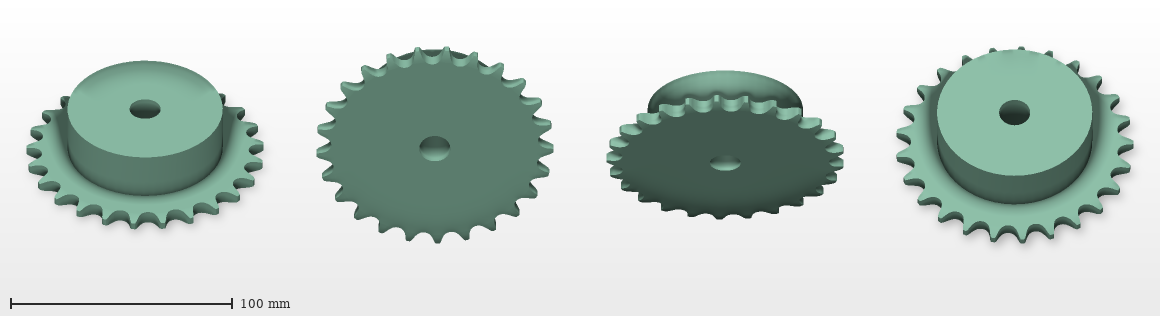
import cadquery as cq
import math

overall_width = 107.0
tooth_count = 25
pitch_radius = 50.7
roller_diameter = 7.9
roller_clearance = 0.039
tip_half_angle = 0.9

seat_radius = 0.5025 * roller_diameter + roller_clearance
working_radius = 1.3025 * roller_diameter + roller_clearance
seat_angle = 35 + 60 / tooth_count
working_angle = 18 - 56 / tooth_count
topping_angle = 17 - 64 / tooth_count
straight_length = roller_diameter * (
    1.4 * math.sin(math.radians(topping_angle)) - 0.8 * math.sin(math.radians(working_angle))
)

half_pitch_angle = math.pi / tooth_count

widest_corner_angle = half_pitch_angle / 2 - math.radians(tip_half_angle)
tip_radius = overall_width / 2 / math.cos(widest_corner_angle)

plate_thickness = 5.9
relief_start_radius = 47.8
relief_depth = 1.3
rim_margin = 1.1

overall_height = 28.0
hub_diameter = 70.0
bore_diameter = 14.0


def turn(point, angle):
    """Rotate a point about the origin by an angle in radians."""
    x, y = point
    return (x * math.cos(angle) - y * math.sin(angle), x * math.sin(angle) + y * math.cos(angle))


def mirror(point):
    """Reflect a point across the centreline of the upright tooth."""
    return (-point[0], point[1])


def move(point, distance, angle):
    """Shift a point by a distance along a direction given in radians."""
    return (point[0] + distance * math.cos(angle), point[1] + distance * math.sin(angle))


def half_tooth():
    """Points up the right side of a tooth pointing along +Y, from the seat to the tip."""
    seat_lean = math.radians(seat_angle) - half_pitch_angle
    flank_lean = seat_lean - math.radians(working_angle)

    seat_centre = turn((0, pitch_radius), -half_pitch_angle)
    working_centre = move(seat_centre, working_radius - seat_radius, seat_lean)

    seat_end = move(seat_centre, -seat_radius, seat_lean)
    working_middle = move(working_centre, -working_radius, (seat_lean + flank_lean) / 2)
    working_end = move(working_centre, -working_radius, flank_lean)
    flank_direction = flank_lean + math.pi / 2
    straight_end = move(working_end, straight_length, flank_direction)
    tip_corner = turn((0, tip_radius), -math.radians(tip_half_angle))

    run = tip_corner[0] - straight_end[0]
    rise = tip_corner[1] - straight_end[1]
    bend = math.atan2(rise, run) - flank_direction
    middle_distance = math.hypot(run, rise) / (2 * math.cos(bend / 2))
    rounding_middle = move(straight_end, middle_distance, flank_direction + bend / 2)
    return seat_end, working_middle, working_end, straight_end, rounding_middle, tip_corner


def toothed_outline():
    """Closed outline of the teeth, with one tooth pointing along -Y."""
    right_side = half_tooth()
    left_side = [mirror(point) for point in right_side]
    tip = (0, tip_radius)
    root = turn((0, pitch_radius - seat_radius), half_pitch_angle)

    outline = cq.Workplane("XY").moveTo(*turn(right_side[0], math.pi))
    for index in range(tooth_count):
        angle = math.pi + 2 * half_pitch_angle * index
        _, working_middle, working_end, straight_end, rounding_middle, tip_corner = [
            turn(point, angle) for point in right_side
        ]
        left_seat, left_middle, left_working, left_straight, left_rounding, left_corner = [
            turn(point, angle) for point in left_side
        ]
        next_seat = turn(right_side[0], angle + 2 * half_pitch_angle)
        outline = (
            outline.threePointArc(working_middle, working_end)
            .lineTo(*straight_end)
            .threePointArc(rounding_middle, tip_corner)
            .threePointArc(turn(tip, angle), left_corner)
            .threePointArc(left_rounding, left_straight)
            .lineTo(*left_working)
            .threePointArc(left_middle, left_seat)
            .threePointArc(turn(root, angle), next_seat)
        )
    return outline.close()


def relieved_disc():
    """Disc whose faces curve smoothly inwards towards a thinner rim."""
    rim = tip_radius + rim_margin
    run = tip_radius - relief_start_radius
    side_radius = (run ** 2 + relief_depth ** 2) / (2 * relief_depth)

    def drop(radius):
        return side_radius - math.sqrt(side_radius ** 2 - (radius - relief_start_radius) ** 2)

    middle = (relief_start_radius + rim) / 2
    return (
        cq.Workplane("XZ")
        .lineTo(relief_start_radius, 0)
        .threePointArc((middle, drop(middle)), (rim, drop(rim)))
        .lineTo(rim, plate_thickness - drop(rim))
        .threePointArc(
            (middle, plate_thickness - drop(middle)), (relief_start_radius, plate_thickness)
        )
        .lineTo(0, plate_thickness)
        .close()
        .revolve(360, (0, 0, 0), (0, 1, 0))
    )


plate = toothed_outline().extrude(plate_thickness).intersect(relieved_disc())
hub = cq.Workplane("XY").circle(hub_diameter / 2).extrude(overall_height)
bore = cq.Workplane("XY").circle(bore_diameter / 2).extrude(overall_height)

result = plate.union(hub).cut(bore)